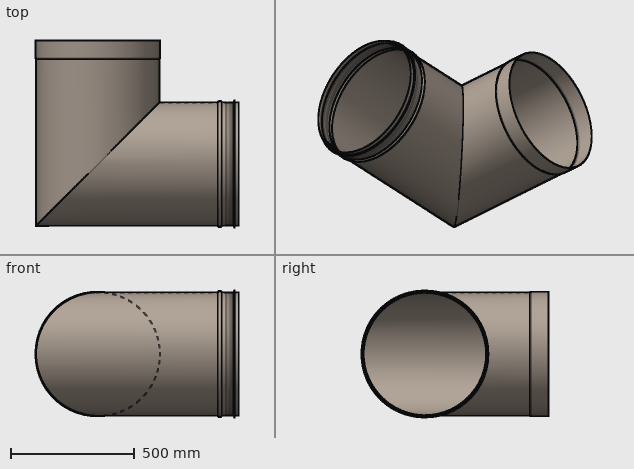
import cadquery as cq
import math


pipe_outer_radius = 500.6 / 2
pipe_inner_radius = 497.0 / 2
wall = pipe_outer_radius - pipe_inner_radius
socket_inner_radius = 501.6 / 2
socket_outer_radius = socket_inner_radius + wall
lip_radius = 514.6 / 2

socket_end = 500.0
socket_depth = 70.0
shoulder_length = 5.5
shoulder_end = socket_end - socket_depth
socket_start = shoulder_end - shoulder_length

nipple_end = 570.0
nipple_start = 485.5

bead_width = 16.2
bead_height = 5.5
bead_center = nipple_start + bead_width / 2
bead_end = nipple_start + bead_width
bead_radius = pipe_outer_radius + bead_height

groove_starts = (516.0, 537.4)
groove_width = 18.6
groove_side = 6.0
groove_depth = 1.5
groove_floor_radius = pipe_outer_radius - groove_depth

lip_root_end = groove_starts[1] + groove_width - groove_side
lip_root_width = 2.0
lip_tip_end = 552.8
lip_tip_width = 1.2


def bend(x0, r0, x1, r1, depth):
    """S-bend of two equal tangent arcs, level at both ends, `depth` below the sheet's outer face."""
    middle_slope = 2 * math.atan2(r1 - r0, x1 - x0)
    middle_x = (x0 + x1) / 2 + depth * math.sin(middle_slope)
    middle_r = (r0 + r1) / 2 - depth * math.cos(middle_slope)
    start = cq.Vector(x0, r0 - depth)
    middle = cq.Vector(middle_x, middle_r)
    end = cq.Vector(x1, r1 - depth)
    level = cq.Vector(1, 0)
    sloped = cq.Vector(math.cos(middle_slope), math.sin(middle_slope))
    return [
        cq.Edge.makeTangentArc(start, level, middle),
        cq.Edge.makeTangentArc(middle, sloped, end),
    ]


def socket_curves(depth):
    """Shoulder from the pipe diameter up to the socket diameter."""
    return [bend(socket_start, pipe_outer_radius, shoulder_end, socket_outer_radius, depth)]


def nipple_curves(depth):
    """Bead, then the two sides of each groove, in order along the axis."""
    bead = cq.Edge.makeThreePointArc(
        cq.Vector(nipple_start, pipe_outer_radius - depth),
        cq.Vector(bead_center, bead_radius - depth),
        cq.Vector(bead_end, pipe_outer_radius - depth),
    )
    curves = [[bead]]
    for start in groove_starts:
        end = start + groove_width
        curves.append(bend(start, pipe_outer_radius, start + groove_side, groove_floor_radius, depth))
        curves.append(bend(end - groove_side, groove_floor_radius, end, pipe_outer_radius, depth))
    return curves


def sheet_face(curves, end_x, end_r):
    """Edges of one sheet face: the curves, each followed by a straight stretch."""
    stretch_ends = [curve[0].startPoint() for curve in curves[1:]]
    stretch_ends.append(cq.Vector(end_x, end_r))
    edges = []
    for curve, stretch_end in zip(curves, stretch_ends):
        edges += curve
        edges.append(cq.Edge.makeLine(curve[-1].endPoint(), stretch_end))
    return edges


def formed_ring(curves_at_depth, end_x, end_radius):
    """Sheet ring around X, closed between its outer face and its inner face one wall below."""
    outer = sheet_face(curves_at_depth(0), end_x, end_radius)
    inner = sheet_face(curves_at_depth(wall), end_x, end_radius - wall)
    start_rim = cq.Edge.makeLine(inner[0].startPoint(), outer[0].startPoint())
    end_rim = cq.Edge.makeLine(outer[-1].endPoint(), inner[-1].endPoint())
    outline = cq.Wire.assembleEdges([start_rim] + outer + [end_rim] + inner[::-1])
    return cq.Workplane("XY").add(outline).toPending().revolve(360, (0, 0, 0), (1, 0, 0))


def mitred_rod(radius):
    """Solid rods along +X and +Y, cut on the plane x = y so that they meet in a mitre."""
    leg_x = cq.Workplane("YZ", origin=(-radius, 0, 0)).circle(radius).extrude(radius + nipple_start)
    leg_y = cq.Workplane("XZ", origin=(0, -radius, 0)).circle(radius).extrude(-radius - socket_start)
    near = -2 * radius
    far = nipple_start + radius
    x_side = (
        cq.Workplane("XY", origin=(0, 0, -radius))
        .polyline([(near, near), (far, near), (far, far)])
        .close()
        .extrude(2 * radius)
    )
    y_side = x_side.mirror(cq.Vector(1, -1, 0))
    return leg_x.intersect(x_side).union(leg_y.intersect(y_side))


def make_elbow():
    """Two plain pipe legs joined on the mitre."""
    return mitred_rod(pipe_outer_radius).cut(mitred_rod(pipe_inner_radius))


def make_socket():
    """Widened sleeve on the +Y leg that takes the next duct."""
    return formed_ring(socket_curves, socket_end, socket_outer_radius).rotate((0, 0, 0), (0, 0, 1), 90)


def make_nipple():
    """Plug-in end of the +X leg, with the stop bead and the rolled grooves."""
    return formed_ring(nipple_curves, nipple_end, pipe_outer_radius)


def make_gasket():
    """Slanted lip seal on the floor of the outer groove."""
    return (
        cq.Workplane("XY")
        .moveTo(lip_root_end - lip_root_width, groove_floor_radius)
        .lineTo(lip_tip_end - lip_tip_width, lip_radius)
        .lineTo(lip_tip_end, lip_radius)
        .lineTo(lip_root_end, groove_floor_radius)
        .close()
        .revolve(360, (0, 0, 0), (1, 0, 0))
    )


elbow = make_elbow()
socket = make_socket()
nipple = make_nipple()
gasket = make_gasket()

result = cq.Compound.makeCompound([elbow.val(), socket.val(), nipple.val(), gasket.val()])